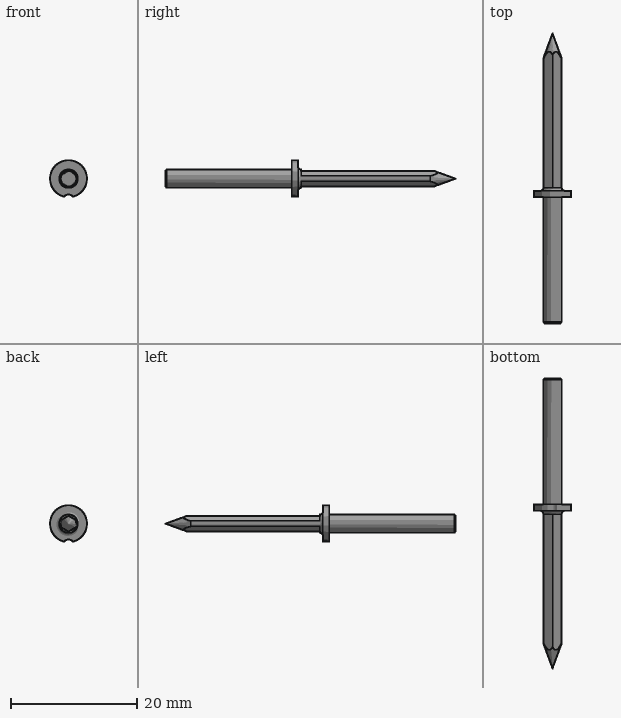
import cadquery as cq
import math

total_length = 46.0
shaft_radius = 1.45
end_chamfer = 0.255

flange_start = 20.0
flange_thickness = 1.0
flange_radius = 2.95
collar_height = 0.5

notch_half_width = 0.7
notch_depth = 0.4
notch_edge_radius = 0.25

point_length = 4.0
flat_distance = 1.08
flat_angles = (60, 120, 240, 300)

flange_end = flange_start + flange_thickness
collar_end = flange_end + collar_height
cone_start = total_length - point_length


def turned_body():
    """Revolve the shaft, flange, concave collar and conical point."""
    sweep_middle = collar_height * (1 - math.sqrt(0.5))
    profile = (
        cq.Workplane("XY")
        .moveTo(0, 0)
        .lineTo(shaft_radius - end_chamfer, 0)
        .lineTo(shaft_radius, end_chamfer)
        .lineTo(shaft_radius, flange_start)
        .lineTo(flange_radius, flange_start)
        .lineTo(flange_radius, flange_end)
        .lineTo(shaft_radius + collar_height, flange_end)
        .threePointArc(
            (shaft_radius + sweep_middle, flange_end + sweep_middle),
            (shaft_radius, collar_end),
        )
        .lineTo(shaft_radius, cone_start)
        .lineTo(0, total_length)
        .close()
    )
    return profile.revolve(360, (0, 0, 0), (0, 1, 0))


def flat_cutter(angle):
    """Block that removes everything beyond one flat, from the collar to the tip."""
    block_depth = shaft_radius
    block_width = 3 * shaft_radius
    block_length = total_length - collar_end
    return (
        cq.Workplane("XY")
        .box(block_depth, block_length, block_width, centered=(False, False, True))
        .translate((flat_distance, collar_end, 0))
        .rotate((0, 0, 0), (0, 1, 0), -angle)
    )


def cut_flange_notch(body):
    """Cut the shallow round notch under the flange and round its two edges."""
    rim_height = -math.sqrt(flange_radius**2 - notch_half_width**2)
    floor_height = notch_depth - flange_radius
    rise = floor_height - rim_height
    notch_radius = (notch_half_width**2 + rise**2) / (2 * rise)
    cutter = (
        cq.Workplane("XZ", origin=(0, flange_end, 0))
        .center(0, floor_height - notch_radius)
        .circle(notch_radius)
        .extrude(flange_thickness)
    )
    edge_reach = 0.05
    rim_edges = cq.selectors.BoxSelector(
        (-notch_half_width - edge_reach, flange_start, rim_height - edge_reach),
        (notch_half_width + edge_reach, flange_end, rim_height + edge_reach),
    )
    return body.cut(cutter).edges("|Y").edges(rim_edges).fillet(notch_edge_radius)


result = cut_flange_notch(turned_body())
for flat_angle in flat_angles:
    result = result.cut(flat_cutter(flat_angle))